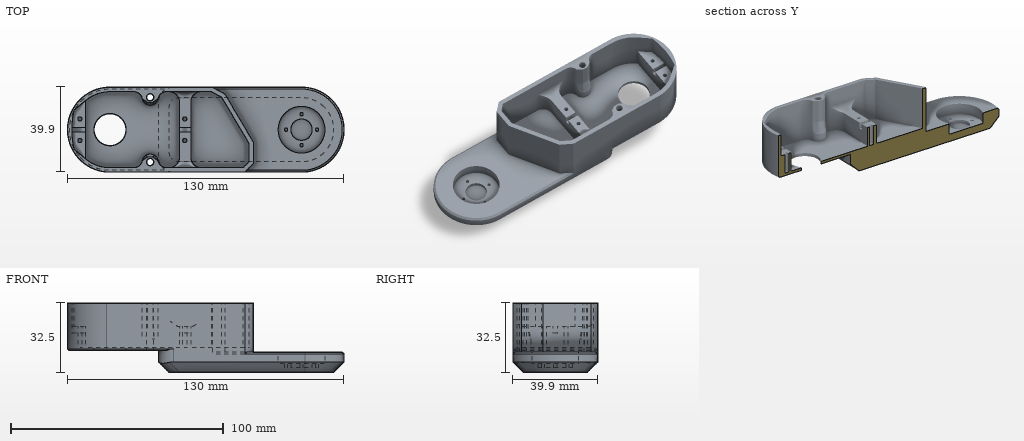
import cadquery as cq
import math


length = 130.0
width = 39.9
height = 32.5
end_radius = 20.0
half_width = width / 2
pivot_x = length - 2 * end_radius
flat_inset = math.sqrt(end_radius**2 - half_width**2)

foot_top = 9.5
foot_left = 22.7
foot_bottom_chamfer = 5.0
foot_corner_radius = 7.0

housing_bottom = 10.1
housing_front = 67.3
corner_chamfer = 4.0
slant_top = (53.9, 16.8)
slant_bottom = (housing_front, -5.8)
shoulder_x = 48.1
edge_chamfer = 0.9

wall = 2.1
cavity_half_width = half_width - wall
cavity_floor = 11.7
cavity_end = wall - end_radius
notch_x = -10.9
notch_half_width = math.sqrt(cavity_half_width**2 - notch_x**2)
notch_corner = (-16.9, 9.2)

ledge_edge = -11.6
rib_left = 32.6
rib_right = 38.0
seat_top = 21.5
rib_corner_radius = 5.0
rib_margin = 2 * rib_corner_radius
rib_top_radius = 3.0
groove_width = 2.0
groove_depth = 3.0
pilot_diameter = 2.0
pilot_half_spacing = 5.1
ledge_pilot_x = -14.2
rib_pilot_x = 35.1

post_x = 18.8
post_y = 15.2
post_radius = 3.8
post_tip_angle = math.radians(32)
post_flat_reach = 2.3
post_flat_half_width = 1.3
post_blend_radius = 4.0
post_shoulder = 15.6
screw_hole_diameter = 3.2

shaft_opening_diameter = 15.0
recess_diameter = 22.0
recess_floor = 4.0
center_bore_diameter = 10.0
center_bore_floor = 2.3
horn_hole_diameter = 1.5
horn_hole_circle = 14.5
horn_hole_count = 4


def prism(outline, bottom, top):
    """Extrude a closed outline drawn at height zero between two heights."""
    return outline.extrude(top - bottom).translate((0, 0, bottom))


def cylinder(x, y, diameter, bottom, top):
    return prism(cq.Workplane("XY").center(x, y).circle(diameter / 2), bottom, top)


def block(x_min, x_max, y_min, y_max, bottom, top):
    return (
        cq.Workplane("XY")
        .box(x_max - x_min, y_max - y_min, top - bottom, centered=False)
        .translate((x_min, y_min, bottom))
    )


def foot_outline():
    arc_start_x = pivot_x + flat_inset
    return (
        cq.Workplane("XY")
        .moveTo(foot_left, -half_width)
        .lineTo(arc_start_x, -half_width)
        .threePointArc((pivot_x + end_radius, 0), (arc_start_x, half_width))
        .lineTo(foot_left, half_width)
        .close()
    )


def housing_outline():
    return (
        cq.Workplane("XY")
        .moveTo(-flat_inset, half_width)
        .lineTo(shoulder_x, half_width)
        .lineTo(*slant_top)
        .lineTo(*slant_bottom)
        .lineTo(housing_front, corner_chamfer - half_width)
        .lineTo(housing_front - corner_chamfer, -half_width)
        .lineTo(-flat_inset, -half_width)
        .threePointArc((-end_radius, 0), (-flat_inset, half_width))
        .close()
    )


def rounded_foot_prism(bottom, top):
    """Foot outline extruded, with its two square corners rounded."""
    return prism(foot_outline(), bottom, top).edges("|Z and <X").fillet(foot_corner_radius)


def make_foot():
    foot = prism(foot_outline(), 0, foot_top)
    foot = foot.faces("<Z").edges().chamfer(foot_bottom_chamfer)
    corner_region = cq.selectors.BoxSelector(
        (foot_left, -half_width, 0),
        (foot_left + foot_bottom_chamfer, half_width, foot_top),
    )
    foot = foot.edges(corner_region).edges("not(#Z or |Z)").fillet(foot_corner_radius)
    foot = foot.intersect(rounded_foot_prism(0, foot_top))
    return foot.faces(">Z").edges().chamfer(edge_chamfer)


def make_housing():
    shell = prism(housing_outline(), housing_bottom, height)
    shell = shell.faces("<Z").edges().chamfer(edge_chamfer)
    link = rounded_foot_prism(foot_bottom_chamfer, housing_bottom + edge_chamfer)
    link = link.intersect(prism(housing_outline(), 0, height))
    return shell.union(link)


def make_cavity():
    front = prism(housing_outline().offset2D(-wall, "intersection"), cavity_floor, height)
    front = front.intersect(block(0, length, -width, width, cavity_floor, height))
    arc_angle = math.asin(-notch_x / cavity_half_width) / 2
    arc_x = -cavity_half_width * math.sin(arc_angle)
    arc_y = cavity_half_width * math.cos(arc_angle)
    corner_x, corner_y = notch_corner
    round_end = (
        cq.Workplane("XY")
        .moveTo(0, cavity_half_width)
        .threePointArc((arc_x, arc_y), (notch_x, notch_half_width))
        .lineTo(corner_x, corner_y)
        .threePointArc((cavity_end, 0), (corner_x, -corner_y))
        .lineTo(notch_x, -notch_half_width)
        .threePointArc((arc_x, -arc_y), (0, -cavity_half_width))
        .close()
    )
    return front.union(prism(round_end, cavity_floor, height))


def make_rib():
    """Cross rib with rounded corners against the side walls and a rounded rise at each end."""
    rib = block(rib_left, rib_right, -half_width, half_width, cavity_floor, height)
    for y_min, y_max in ((-half_width, -cavity_half_width), (cavity_half_width, half_width)):
        wall_strip = block(
            rib_left - rib_margin, rib_right + rib_margin, y_min, y_max, cavity_floor, height
        )
        rib = rib.union(wall_strip)
    junctions = cq.selectors.BoxSelector(
        (rib_left - rib_corner_radius, -half_width, cavity_floor),
        (rib_right + rib_corner_radius, half_width, height),
    )
    rib = rib.edges("|Z").edges(junctions).fillet(rib_corner_radius)
    trough = block(0, length, -cavity_half_width, cavity_half_width, seat_top, height)
    trough = trough.edges("|X and <Z").fillet(rib_top_radius)
    return rib.cut(trough)


def make_ledge():
    return block(-end_radius, ledge_edge, -half_width, half_width, cavity_floor, seat_top)


def seat_cuts():
    """Groove along X and screw pilot holes across the ledge and the rib."""
    half_groove = groove_width / 2
    spans = ((cavity_end, ledge_edge, ledge_pilot_x), (rib_left, rib_right, rib_pilot_x))
    cuts = cq.Workplane("XY")
    for x_min, x_max, pilot_x in spans:
        cuts = cuts.add(block(x_min, x_max, -half_groove, half_groove, seat_top - groove_depth, seat_top))
        for side in (-1, 1):
            pilot_y = side * pilot_half_spacing
            cuts = cuts.add(cylinder(pilot_x, pilot_y, pilot_diameter, cavity_floor, seat_top))
    return cuts.combine()


def post_outline(z, round_tip):
    """Post blended into the +Y wall, with a round tip or a slimmer three-sided tip."""
    blend_y = cavity_half_width - post_blend_radius
    center_distance = post_radius + post_blend_radius
    blend_dx = math.sqrt(center_distance**2 - (post_y - blend_y) ** 2)
    tangent_dx = blend_dx * post_radius / center_distance
    tangent_y = post_y - (post_y - blend_y) * post_radius / center_distance
    angle = math.atan2(post_y - blend_y, blend_dx)
    middle_angle = (angle + math.pi / 2) / 2
    middle_dx = blend_dx - post_blend_radius * math.cos(middle_angle)
    middle_y = blend_y + post_blend_radius * math.sin(middle_angle)
    outer_y = cavity_half_width + wall / 2
    outline = (
        cq.Workplane("XY", origin=(post_x, 0, z))
        .moveTo(-blend_dx, outer_y)
        .lineTo(-blend_dx, cavity_half_width)
        .threePointArc((-middle_dx, middle_y), (-tangent_dx, tangent_y))
    )
    if round_tip:
        side_angle = (math.atan2(tangent_dx, post_y - tangent_y) + post_tip_angle) / 2
        side_dx = post_radius * math.sin(side_angle)
        side_y = post_y - post_radius * math.cos(side_angle)
        tip_dx = post_radius * math.sin(post_tip_angle)
        tip_y = post_y - post_radius * math.cos(post_tip_angle)
        outline = (
            outline.threePointArc((-side_dx, side_y), (-tip_dx, tip_y))
            .threePointArc((0, post_y - post_radius), (tip_dx, tip_y))
            .threePointArc((side_dx, side_y), (tangent_dx, tangent_y))
        )
    else:
        flat_y = post_y - post_flat_reach
        outline = (
            outline.lineTo(-post_flat_half_width, flat_y)
            .lineTo(post_flat_half_width, flat_y)
            .lineTo(tangent_dx, tangent_y)
        )
    return (
        outline.threePointArc((middle_dx, middle_y), (blend_dx, cavity_half_width))
        .lineTo(blend_dx, outer_y)
        .close()
    )


def make_posts():
    lower = post_outline(cavity_floor, True).extrude(post_shoulder - cavity_floor)
    upper = post_outline(seat_top, False).extrude(height - seat_top)
    taper_ends = [
        post_outline(post_shoulder, True).val(),
        post_outline(seat_top, False).val(),
    ]
    taper = cq.Workplane(cq.Solid.makeLoft(taper_ends, True))
    post = lower.union(taper).union(upper)
    return post.union(post.mirror("XZ"))


def make_openings():
    cuts = cylinder(0, 0, shaft_opening_diameter, 0, height)
    for side in (-1, 1):
        cuts = cuts.union(cylinder(post_x, side * post_y, screw_hole_diameter, 0, height))
    cuts = cuts.union(cylinder(pivot_x, 0, recess_diameter, recess_floor, height))
    cuts = cuts.union(cylinder(pivot_x, 0, center_bore_diameter, center_bore_floor, height))
    for index in range(horn_hole_count):
        angle = index * 2 * math.pi / horn_hole_count
        x = pivot_x + horn_hole_circle / 2 * math.cos(angle)
        y = horn_hole_circle / 2 * math.sin(angle)
        cuts = cuts.union(cylinder(x, y, horn_hole_diameter, center_bore_floor, height))
    return cuts


fittings = make_rib().union(make_ledge()).union(make_posts())
fittings = fittings.cut(seat_cuts()).intersect(prism(housing_outline(), 0, height))

result = make_foot().union(make_housing()).cut(make_cavity())
result = result.union(fittings).cut(make_openings())